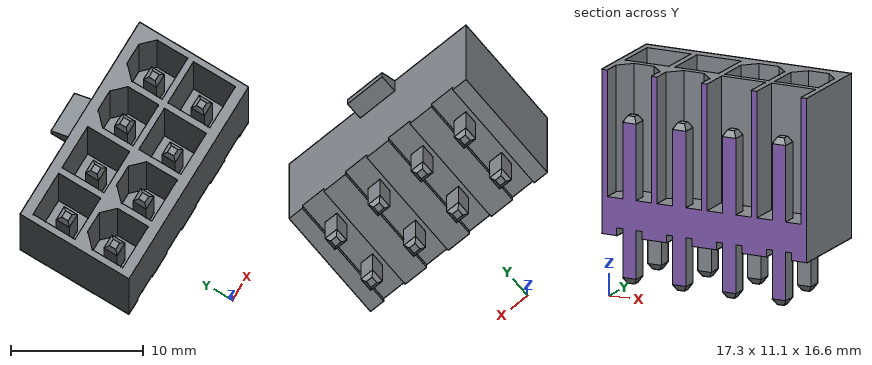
import cadquery as cq

length = 17.3
depth = 9.6
height = 12.92

columns = 4
rows = 2
pitch = 4.2
cavity_size = 3.7
cavity_corner_cut = 1.0
floor_thickness = 3.0

pin_width = 1.16
pin_tip_width = 0.57
pin_taper = 0.48
pin_projection = 3.68
pin_top_recess = 3.46

notch_width = pitch / 2
notch_height = 0.6

latch_width = 3.39
latch_reach = 1.5
latch_ramp_drop = 1.5
latch_nose_height = 1.0
latch_undercut_rise = 0.1

column_positions = [(i - (columns - 1) / 2) * pitch for i in range(columns)]
row_positions = [(j - (rows - 1) / 2) * pitch for j in range(rows)]


def make_cavity(x, y, keyed):
    """Square contact cavity; a keyed one has its two +Y corners cut off."""
    cavity_depth = height - floor_thickness
    cavity = (
        cq.Workplane("XY", origin=(x, y, floor_thickness))
        .rect(cavity_size, cavity_size)
        .extrude(cavity_depth)
    )
    if keyed:
        cavity = cavity.edges("|Z and >Y").chamfer(cavity_corner_cut)
    return cavity


def make_pin(x, y):
    """Square pin through the housing floor, tapered at both ends."""
    bottom = -pin_projection
    top = height - pin_top_recess
    shaft_bottom = bottom + pin_taper
    shaft_top = top - pin_taper
    shaft = (
        cq.Workplane("XY", origin=(x, y, shaft_bottom))
        .rect(pin_width, pin_width)
        .extrude(shaft_top - shaft_bottom)
    )
    for shaft_end, tip in ((shaft_bottom, bottom), (shaft_top, top)):
        taper = (
            cq.Workplane("XY", origin=(x, y, shaft_end))
            .rect(pin_width, pin_width)
            .workplane(offset=tip - shaft_end)
            .rect(pin_tip_width, pin_tip_width)
            .loft(ruled=True)
        )
        shaft = shaft.union(taper)
    return shaft


def make_notch(x):
    """Notch across the full depth of the housing bottom."""
    return cq.Workplane("XY").center(x, 0).box(
        notch_width, depth, notch_height, centered=(True, True, False)
    )


def make_latch():
    """Ramped catch with a slightly undercut lower face."""
    wall = depth / 2
    nose = wall + latch_reach
    nose_top = height - latch_ramp_drop
    nose_bottom = nose_top - latch_nose_height
    profile = [
        (wall, height),
        (nose, nose_top),
        (nose, nose_bottom),
        (wall, nose_bottom + latch_undercut_rise),
    ]
    return (
        cq.Workplane("YZ", origin=(-latch_width / 2, 0, 0))
        .polyline(profile)
        .close()
        .extrude(latch_width)
    )


result = cq.Workplane("XY").box(length, depth, height, centered=(True, True, False))
result = result.union(make_latch())

for x in column_positions:
    result = result.cut(make_notch(x))

for x in column_positions:
    for y in row_positions:
        result = result.cut(make_cavity(x, y, keyed=x * y > 0))
        result = result.union(make_pin(x, y))